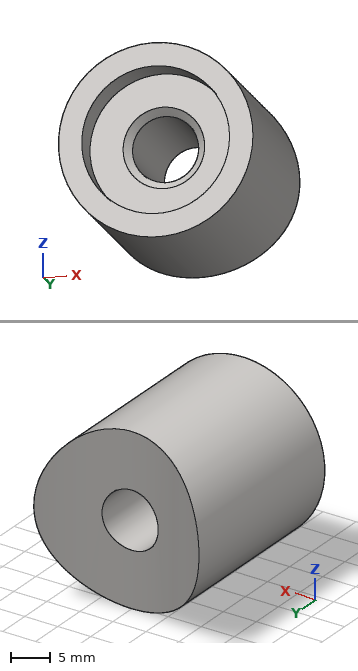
import cadquery as cq
import math

total_length = 28.48
outer_diameter = 25.0
recess_diameter = 19.0
recess_depth = 5.0
bore_diameter = 8.5
bore_chamfer = 1.0
saddle_radius = 24.15

outer_radius = outer_diameter / 2
saddle_axis_y = total_length + math.sqrt(saddle_radius**2 - outer_radius**2)


def cylinder_along_y(diameter, length):
    """Cylinder on the Y axis, running from the front face (y = 0) toward +Y."""
    return cq.Workplane("XZ").circle(diameter / 2).extrude(-length)


def countersink():
    """Cone that breaks the edge between the recess floor and the bore."""
    bore_radius = bore_diameter / 2
    return (
        cq.Workplane("XY")
        .moveTo(0, recess_depth)
        .lineTo(bore_radius + bore_chamfer, recess_depth)
        .lineTo(bore_radius, recess_depth + bore_chamfer)
        .lineTo(0, recess_depth + bore_chamfer)
        .close()
        .revolve(360, (0, 0, 0), (0, 1, 0))
    )


saddle = (
    cq.Workplane("XY")
    .center(0, saddle_axis_y)
    .circle(saddle_radius)
    .extrude(outer_radius, both=True)
)

body = cylinder_along_y(outer_diameter, total_length).cut(saddle)
recess = cylinder_along_y(recess_diameter, recess_depth)
bore = cylinder_along_y(bore_diameter, total_length)

result = body.cut(recess).cut(bore).cut(countersink())